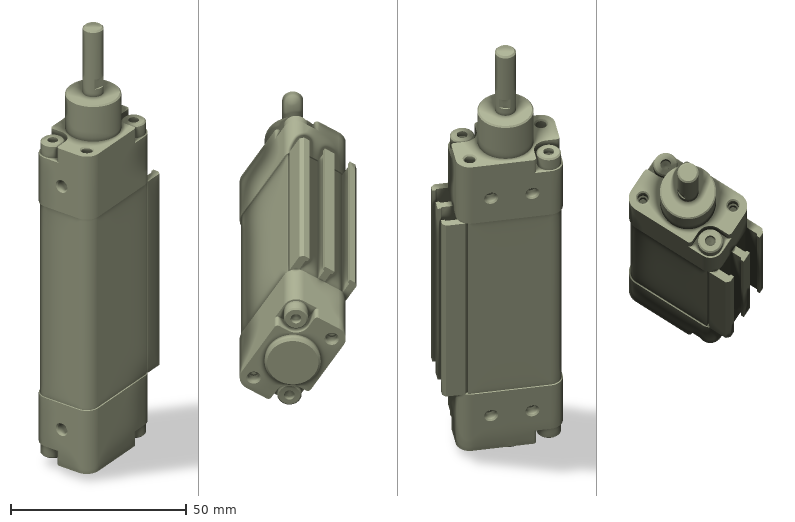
import cadquery as cq
import math

HEAD_WIDTH = 20.0
HEAD_DEPTH = 31.0
HEAD_LENGTH = 20.6
CORNER_RADIUS = 4.0
BARREL_LENGTH = 62.6
BARREL_INSET = 0.4

BOSS_DIAMETER = 16.0
LOWER_BOSS_HEIGHT = 2.4
LOWER_BOSS_CHAMFER = 0.7
COLLAR_HEIGHT = 11.7
COLLAR_CHAMFER = 0.4

ROD_DIAMETER = 6.0
ROD_CHAMFER = 0.49
TOTAL_LENGTH = 139.5
FLAT_ACROSS = 5.0
FLAT_ANGLE = -15.0
FLAT_LENGTH = 3.2
FLAT_RISE = 2.5

SCREW_X = 6.0
SCREW_Y = 11.5
SCREW_HEAD_DIAMETER = 7.0
SCREW_HEAD_HEIGHT = 4.0
SCREW_EDGE_CHAMFER = 0.4
SOCKET_DIAMETER = 3.0
SOCKET_DEPTH = 1.7
SOCKET_TIP_ANGLE = 118.0
POCKET_DEPTH = 4.7
POCKET_RADIUS = 4.2
POCKET_LIP_RADIUS = 1.0

HOLE_MOUTH_DIAMETER = 4.0
HOLE_DIAMETER = 3.2
HOLE_DEPTH = 3.5
BORE_DIAMETER = 2.2
BORE_DEPTH = 5.6
PORT_OFFSET = 12.1
PORT_SPACING = 12.0

RAIL_HEIGHT = 20.0
RAIL_THICKNESS = 2.2
RAIL_LIP = 0.5
LIP_HEIGHT = 1.3
LIP_SLOPE = 0.3
RAIL_CHAMFER = 1.0
STEM_WIDTH = 2.1

NOTCH_Y = 12.5
NOTCH_DEPTH = 1.0

LOWER_HEAD_Z = LOWER_BOSS_HEIGHT
BARREL_Z = LOWER_HEAD_Z + HEAD_LENGTH
UPPER_HEAD_Z = BARREL_Z + BARREL_LENGTH
UPPER_HEAD_TOP = UPPER_HEAD_Z + HEAD_LENGTH
COLLAR_TOP = UPPER_HEAD_TOP + COLLAR_HEIGHT
BARREL_HALF_WIDTH = HEAD_WIDTH / 2 - BARREL_INSET
BARREL_HALF_DEPTH = HEAD_DEPTH / 2 - BARREL_INSET


def rounded_block(width, depth, length, radius, base_z):
    """Upright block with rounded vertical edges."""
    block = cq.Workplane("XY", origin=(0, 0, base_z)).rect(width, depth).extrude(length)
    return block.edges("|Z").fillet(radius)


def stepped_hole(start, direction):
    """Cutter for a blind hole with a 45 degree countersink and a narrow bore at its bottom."""
    mouth = cq.Vector(*start)
    axis = cq.Vector(*direction)
    mouth_radius = HOLE_MOUTH_DIAMETER / 2
    hole_radius = HOLE_DIAMETER / 2
    sink = cq.Solid.makeCone(mouth_radius, hole_radius, mouth_radius - hole_radius, mouth, axis)
    hole = cq.Solid.makeCylinder(hole_radius, HOLE_DEPTH, mouth, axis)
    bore = cq.Solid.makeCylinder(BORE_DIAMETER / 2, BORE_DEPTH, mouth, axis)
    return cq.Workplane(hole).union(cq.Workplane(sink)).union(cq.Workplane(bore))


def corner_pocket():
    """Cutter for the screw pocket in the -X, -Y corner; it fills Z = 0 to POCKET_DEPTH."""
    left = -HEAD_WIDTH / 2
    front = -HEAD_DEPTH / 2
    wall_x = -SCREW_X + POCKET_RADIUS
    wall_y = -SCREW_Y + POCKET_RADIUS
    lip = POCKET_LIP_RADIUS
    diagonal = POCKET_RADIUS * math.sqrt(0.5)
    lip_sag = lip * (1 - math.sqrt(0.5))
    return (
        cq.Workplane("XY")
        .moveTo(left, front)
        .lineTo(wall_x + lip, front)
        .threePointArc((wall_x + lip_sag, front + lip_sag), (wall_x, front + lip))
        .lineTo(wall_x, -SCREW_Y)
        .threePointArc((-SCREW_X + diagonal, -SCREW_Y + diagonal), (-SCREW_X, wall_y))
        .lineTo(left + lip, wall_y)
        .threePointArc((left + lip_sag, wall_y + lip_sag), (left, wall_y + lip))
        .close()
        .extrude(POCKET_DEPTH)
    )


def screw_head():
    """Socket screw head in the -X, -Y corner, seated on Z = 0."""
    head = (
        cq.Workplane("XY")
        .center(-SCREW_X, -SCREW_Y)
        .circle(SCREW_HEAD_DIAMETER / 2)
        .extrude(SCREW_HEAD_HEIGHT)
        .faces(">Z").edges().chamfer(SCREW_EDGE_CHAMFER)
    )
    socket_radius = SOCKET_DIAMETER / 2
    tip_depth = socket_radius / math.tan(math.radians(SOCKET_TIP_ANGLE / 2))
    mouth = cq.Vector(-SCREW_X, -SCREW_Y, SCREW_HEAD_HEIGHT)
    floor = mouth - cq.Vector(0, 0, SOCKET_DEPTH)
    down = cq.Vector(0, 0, -1)
    socket = cq.Solid.makeCylinder(socket_radius, SOCKET_DEPTH, mouth, down)
    tip = cq.Solid.makeCone(socket_radius, 0, tip_depth, floor, down)
    return head.cut(cq.Workplane(socket)).cut(cq.Workplane(tip))


def end_block():
    """Upper end block standing on Z = 0, with its screws and holes."""
    block = rounded_block(HEAD_WIDTH, HEAD_DEPTH, HEAD_LENGTH, CORNER_RADIUS, 0)
    seat_z = HEAD_LENGTH - POCKET_DEPTH
    for turn in (0, 180):
        pocket = corner_pocket().rotate((0, 0, 0), (0, 0, 1), turn)
        screw = screw_head().rotate((0, 0, 0), (0, 0, 1), turn)
        block = block.cut(pocket.translate((0, 0, seat_z)))
        block = block.union(screw.translate((0, 0, seat_z)))

    for side in (-1, 1):
        mouth = (side * SCREW_X, -side * SCREW_Y, HEAD_LENGTH)
        block = block.cut(stepped_hole(mouth, (0, 0, -1)))

    port_z = HEAD_LENGTH - PORT_OFFSET
    block = block.cut(stepped_hole((0, -HEAD_DEPTH / 2, port_z), (0, 1, 0)))
    for side in (-1, 1):
        mouth = (-HEAD_WIDTH / 2, side * PORT_SPACING / 2, port_z)
        block = block.cut(stepped_hole(mouth, (1, 0, 0)))
    return block


def barrel_prism(points):
    """Straight extrusion of an outline along the whole barrel."""
    return cq.Workplane("XY", origin=(0, 0, BARREL_Z)).polyline(points).close().extrude(BARREL_LENGTH)


def side_rail():
    """Rail along the -X edge of the barrel back, its lip turned inward."""
    outer = -BARREL_HALF_WIDTH
    inner = outer + RAIL_THICKNESS
    lip_base = RAIL_HEIGHT - LIP_HEIGHT
    root = HEAD_DEPTH / 2 - CORNER_RADIUS
    points = [
        (outer, root),
        (outer, RAIL_HEIGHT - RAIL_CHAMFER),
        (outer + RAIL_CHAMFER, RAIL_HEIGHT),
        (inner + RAIL_LIP, RAIL_HEIGHT),
        (inner + RAIL_LIP, lip_base + LIP_SLOPE),
        (inner, lip_base),
        (inner, root),
    ]
    return barrel_prism(points)


def middle_rail():
    """T-shaped rail along the middle of the barrel back."""
    half_stem = STEM_WIDTH / 2
    lip_base = RAIL_HEIGHT - LIP_HEIGHT
    half_points = [
        (half_stem, 0),
        (half_stem, lip_base),
        (half_stem + RAIL_LIP, lip_base + LIP_SLOPE),
        (half_stem + RAIL_LIP, RAIL_HEIGHT),
    ]
    points = half_points + [(-x, y) for x, y in reversed(half_points)]
    return barrel_prism(points)


def side_notch():
    """Cutter for the notch in the -X face: a square shoulder and a 45 degree ramp back out."""
    outer = -BARREL_HALF_WIDTH
    points = [
        (outer, NOTCH_Y),
        (outer + NOTCH_DEPTH, NOTCH_Y),
        (outer, NOTCH_Y + NOTCH_DEPTH),
    ]
    return barrel_prism(points)


def make_barrel():
    barrel = rounded_block(
        2 * BARREL_HALF_WIDTH, 2 * BARREL_HALF_DEPTH, BARREL_LENGTH, CORNER_RADIUS - BARREL_INSET, BARREL_Z
    )
    rail = side_rail()
    notch = side_notch()
    barrel = barrel.union(rail).union(rail.mirror("YZ")).union(middle_rail())
    return barrel.cut(notch).cut(notch.mirror("YZ"))


def make_housing():
    upper_block = end_block().translate((0, 0, UPPER_HEAD_Z))
    lower_block = end_block().mirror("XY").translate((0, 0, BARREL_Z))
    collar = (
        cq.Workplane("XY", origin=(0, 0, UPPER_HEAD_TOP))
        .circle(BOSS_DIAMETER / 2)
        .extrude(COLLAR_HEIGHT)
        .faces(">Z").edges().chamfer(COLLAR_CHAMFER)
    )
    lower_boss = (
        cq.Workplane("XY")
        .circle(BOSS_DIAMETER / 2)
        .extrude(LOWER_BOSS_HEIGHT)
        .faces("<Z").edges().chamfer(LOWER_BOSS_CHAMFER)
    )
    return make_barrel().union(upper_block).union(lower_block).union(collar).union(lower_boss)


def make_piston_rod():
    """Rod standing on the collar, with two wrench flats near its foot."""
    rod = (
        cq.Workplane("XY", origin=(0, 0, COLLAR_TOP))
        .circle(ROD_DIAMETER / 2)
        .extrude(TOTAL_LENGTH - COLLAR_TOP)
        .faces(">Z").edges().chamfer(ROD_CHAMFER)
    )
    flat_z = COLLAR_TOP + FLAT_RISE
    for side in (-1, 1):
        flat = (
            cq.Workplane("XY", origin=(0, 0, flat_z))
            .center(side * (FLAT_ACROSS + ROD_DIAMETER) / 2, 0)
            .rect(ROD_DIAMETER, ROD_DIAMETER)
            .extrude(FLAT_LENGTH)
            .rotate((0, 0, 0), (0, 0, 1), FLAT_ANGLE)
        )
        rod = rod.cut(flat)
    return rod


housing = make_housing()
piston_rod = make_piston_rod()
result = cq.Compound.makeCompound([housing.val(), piston_rod.val()])